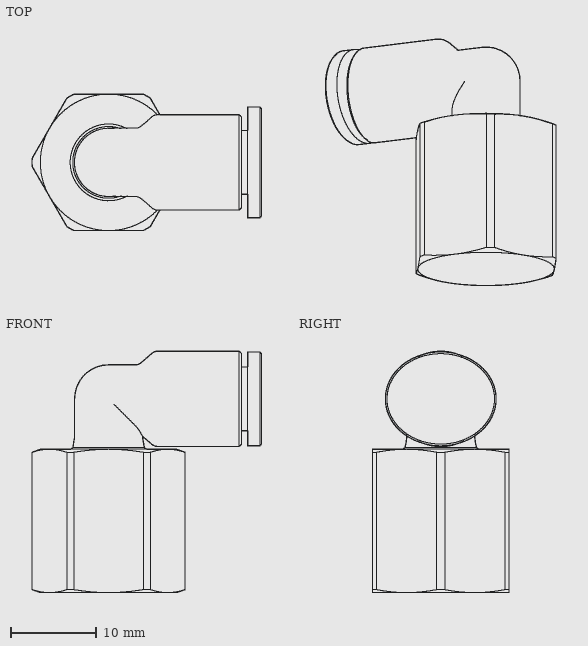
import cadquery as cq
import math

hex_across_flats = 16.0
hex_corner_diameter = 17.95
hex_height = 16.8
hex_chamfer_angle = 20.0

neck_radius = 4.0
arm_axis_height = 22.7

foot_top_height = 18.2
foot_radius = 4.2
foot_lip_radius = 4.5
foot_lip_height = 0.2

socket_radius = 5.6
shoulder_start = 3.52
shoulder_end = 5.38
shoulder_fillet = 1.0
socket_end = 15.6
socket_end_chamfer = 0.3

stem_radius = 3.75
collar_start = 16.3
collar_end = 17.92
collar_width = 13.0
collar_height = 11.0
collar_chamfer = 0.2


def revolve_about_z(profile):
    """Turn an outline drawn as (radius, height) about the Z axis."""
    outline = cq.Workplane("XZ").polyline(profile).close()
    return outline.revolve(360, (0, 0, 0), (0, 1, 0))


def revolve_about_arm(profile):
    """Turn an outline drawn as (distance, radius) about the horizontal arm axis."""
    outline = cq.Workplane("XZ", origin=(0, 0, arm_axis_height)).polyline(profile).close()
    return outline.revolve(360, (0, 0, 0), (1, 0, 0))


def make_hex_base():
    """Hexagon with flats facing +-Y, turned corners and conical end chamfers."""
    corner_radius = hex_corner_diameter / 2
    flat_radius = hex_across_flats / 2
    across_corners = hex_across_flats / math.cos(math.radians(30))
    chamfer_drop = (corner_radius - flat_radius) * math.tan(math.radians(hex_chamfer_angle))

    prism = cq.Workplane("XY").polygon(6, across_corners).extrude(hex_height)
    turned_envelope = revolve_about_z([
        (0, 0),
        (flat_radius, 0),
        (corner_radius, chamfer_drop),
        (corner_radius, hex_height - chamfer_drop),
        (flat_radius, hex_height),
        (0, hex_height),
    ])
    return prism.intersect(turned_envelope)


def make_vertical_arm():
    """Round arm rising from the hexagon to the elbow centre, with a flared foot."""
    return revolve_about_z([
        (0, hex_height),
        (foot_lip_radius, hex_height),
        (foot_radius, hex_height + foot_lip_height),
        (neck_radius, foot_top_height),
        (neck_radius, arm_axis_height),
        (0, arm_axis_height),
    ])


def make_elbow_ball():
    """Ball that rounds the outside of the elbow."""
    return cq.Workplane("XY", origin=(0, 0, arm_axis_height)).sphere(neck_radius)


def make_horizontal_arm():
    """Neck, conical shoulder with blended ends, and tube socket."""
    arm = revolve_about_arm([
        (0, 0),
        (0, neck_radius),
        (shoulder_start, neck_radius),
        (shoulder_end, socket_radius),
        (socket_end, socket_radius),
        (socket_end, 0),
    ])
    arm = arm.faces(">X").chamfer(socket_end_chamfer)
    shoulder_edges = arm.faces("%CONE").faces("<X").edges("%CIRCLE")
    return shoulder_edges.fillet(shoulder_fillet)


def make_release_collar():
    """Round stem leaving the socket and the oval plate at its end."""
    stem_start = cq.Workplane("YZ", origin=(socket_end, 0, arm_axis_height))
    stem = stem_start.circle(stem_radius).extrude(collar_start - socket_end)

    plate_start = cq.Workplane("YZ", origin=(collar_start, 0, arm_axis_height))
    oval = plate_start.ellipse(collar_width / 2, collar_height / 2)
    plate = oval.extrude(collar_end - collar_start)
    plate = plate.faces(">X").chamfer(collar_chamfer)
    return stem.union(plate)


result = (
    make_hex_base()
    .union(make_vertical_arm())
    .union(make_horizontal_arm())
    .union(make_elbow_ball())
    .union(make_release_collar())
)